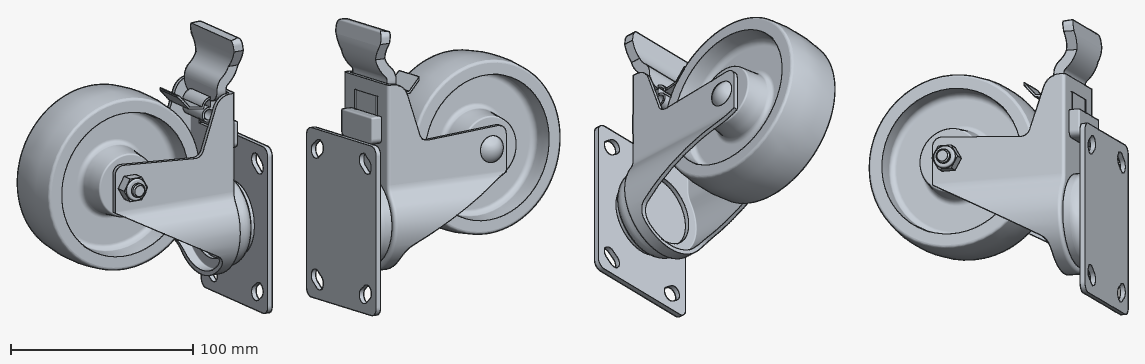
import cadquery as cq
import math


OVERALL_HEIGHT = 156.3

PLATE_WIDTH = 70.0
PLATE_HEIGHT = 95.0
PLATE_THICK = 3.0
PLATE_CORNER = 5.0
SLOT_X = 24.0
SLOT_Z = 36.6
SLOT_RADIUS = 4.2
SLOT_TRAVEL = 4.4
SLOT_TILT = 36.0

RACE_NECK_RADIUS = 21.0
RACE_RADIUS = 26.0
RACE_ROUND = 7.0
RACE_RIM = 4.2

SHEET = 2.5
FORK_BACK = 16.3
FORK_FLOOR = FORK_BACK + SHEET
FORK_HALF_WIDTH = 22.5
FORK_TOP = 78.3
CUP_RADIUS = 29.2
CUP_BLEND = 10.3
CUP_OPENING = 20.6
CUP_RIM = 24.5
BEND_OUTER = 1.9
BEND_INNER = 0.6
CHEEK_TOP_DEPTH = 26.4
CHEEK_TOP_ROUND = 9.8
ELBOW_DEPTH = 38.1
ELBOW_Z = 44.5
ELBOW_ROUND = 5.3
ARM_END = 93.5
ARM_TOP = 48.2
ARM_BOTTOM = 21.3
ARM_ROUND = 5.0
CUP_EDGE_Z = -14.7
CUP_EDGE_ROUND = 10.0

WHEEL_RADIUS = 50.0
WHEEL_DEPTH = 84.1
WHEEL_Z = 35.0
WHEEL_HALF_WIDTH = 17.5
TREAD_EDGE_RADIUS = 48.5
TREAD_ROUND = 1.5
RECESS_RADIUS = 40.8
RECESS_FOOT_RADIUS = 40.2
RECESS_FILLET = 3.3
WEB_HALF_THICK = 3.9
HUB_END_RADIUS = 17.8
HUB_FOOT_RADIUS = 19.9
HUB_HALF_WIDTH = FORK_HALF_WIDTH - SHEET
HUB_ROUND = 1.0
HUB_FILLET = 3.0
HUB_FLANGE_RADIUS = 23.5

AXLE_RADIUS = 3.9
HEAD_RADIUS = 7.5
HEAD_HEIGHT = 3.8
BOLT_END = 32.8
BOLT_CHAMFER = 0.8
NUT_FLATS = 13.0
NUT_LENGTH = 6.4
COLLAR_RADIUS = 6.3
COLLAR_LENGTH = 1.5
COLLAR_ROUND = 1.0

LEVER_THICK = 6.0
LEVER_FRONT = FORK_FLOOR + LEVER_THICK
LEVER_TOP = OVERALL_HEIGHT - PLATE_HEIGHT / 2
LEVER_BEND_Z = 79.7
LEVER_BOTTOM = 72.2
LOWER_BEND = 9.2
UPPER_BEND = 13.9
LEVER_LEAN = 50.0
TIP_LEAN = 8.8
LEVER_HALF_WIDTH = 17.2
TIP_HALF_WIDTH = 22.5
TIP_CORNER = 4.0
LEVER_BACK_ROUND = 1.3
TAPER_TOP = 102.0
TAPER_BOTTOM = 92.4
LEVER_FOOT_ROUND = 7.2

LEAF_HALF_WIDTH = 10.2
LEAF_THICK = 1.3
LEAF_CORNER = 1.5
LEAF_END = 45.2
LEAF_ROOT = (LEVER_FRONT, 73.8)
LEAF_CURL = (28.0, 72.0)
LEAF_CURL_END = (29.5, 68.8)
LEAF_KICK = (38.1, 70.0)
LEAF_TIP = (44.7, 77.2)
EYE_DEPTH = 25.6
EYE_Z = 64.4
EYE_RADIUS = 4.2
EYE_HOLE = 3.0

BUTTON_DEPTH = 10.0
BUTTON_HALF_WIDTH = 15.6
BUTTON_TOP = 59.5
BUTTON_BOTTOM = 44.2
BUTTON_TOP_CORNER = 1.1
BUTTON_FOOT_CORNER = 3.3
BUTTON_EDGE = 1.0
WINDOW_CLEARANCE = 1.3
NECK_BOTTOM = 54.7
NECK_TOP = 70.4


def front_plane(depth):
    """Plane facing -Y at a depth; local axes are X and Z."""
    return cq.Workplane("XZ", origin=(0, -depth, 0))


def side_plane(x):
    """Plane facing +X; local axes are Y and Z."""
    return cq.Workplane("YZ", origin=(x, 0, 0))


def block(half_width, depth_from, depth_to, z_from, z_to):
    return (
        front_plane(depth_from)
        .center(0, (z_from + z_to) / 2)
        .rect(2 * half_width, z_to - z_from)
        .extrude(depth_to - depth_from)
    )


def cylinder_x(x_from, x_to, radius, depth, z):
    return side_plane(x_from).center(-depth, z).circle(radius).extrude(x_to - x_from)


def rounded_polygon(plane, corners):
    """Closed outline through (u, v, radius) corners, each rounded by its own radius."""
    starts_mids_ends = []
    for i, (u, v, radius) in enumerate(corners):
        corner = cq.Vector(u, v)
        before = (cq.Vector(*corners[i - 1][:2]) - corner).normalized()
        after = (cq.Vector(*corners[(i + 1) % len(corners)][:2]) - corner).normalized()
        half_angle = before.getAngle(after) / 2
        reach = radius / math.tan(half_angle)
        to_arc = radius / math.sin(half_angle) - radius
        middle = corner + (before + after).normalized() * to_arc
        starts_mids_ends.append((corner + before * reach, middle, corner + after * reach, radius))
    outline = plane.moveTo(*starts_mids_ends[0][2].toTuple()[:2])
    for start, middle, end, radius in starts_mids_ends[1:] + starts_mids_ends[:1]:
        outline = outline.lineTo(*start.toTuple()[:2])
        if radius > 0:
            outline = outline.threePointArc(middle.toTuple()[:2], end.toTuple()[:2])
    return outline.close()


def turned_about_x(corners):
    """Solid turned about the X axis from (x, radius, rounding) corners."""
    return rounded_polygon(cq.Workplane("XY"), corners).revolve(360, (0, 0, 0), (1, 0, 0))


def make_plate():
    plate = (
        front_plane(0)
        .rect(PLATE_WIDTH, PLATE_HEIGHT)
        .extrude(PLATE_THICK)
        .edges("|Y")
        .fillet(PLATE_CORNER)
    )
    for side in (-1, 1):
        for end in (-1, 1):
            slot = (
                front_plane(0)
                .center(side * SLOT_X, end * SLOT_Z)
                .slot2D(SLOT_TRAVEL + 2 * SLOT_RADIUS, 2 * SLOT_RADIUS, -side * end * SLOT_TILT)
                .extrude(PLATE_THICK)
            )
            plate = plate.cut(slot)
    return plate


def make_race():
    """Domed disc turned about the swivel axis, between the plate and the fork."""
    round_centre_r = RACE_RADIUS - RACE_ROUND
    round_end = FORK_BACK - RACE_RIM
    start_angle = math.acos((RACE_NECK_RADIUS - round_centre_r) / RACE_ROUND)
    middle = start_angle / 2
    return (
        cq.Workplane("XY")
        .moveTo(0, -PLATE_THICK)
        .lineTo(RACE_NECK_RADIUS, -PLATE_THICK)
        .lineTo(RACE_NECK_RADIUS, -round_end + RACE_ROUND * math.sin(start_angle))
        .threePointArc(
            (
                round_centre_r + RACE_ROUND * math.cos(middle),
                -round_end + RACE_ROUND * math.sin(middle),
            ),
            (RACE_RADIUS, -round_end),
        )
        .lineTo(RACE_RADIUS, -FORK_BACK)
        .lineTo(0, -FORK_BACK)
        .close()
        .revolve(360, (0, 0, 0), (0, 1, 0))
    )


def fork_outline(depth, inset, top):
    """Keyhole outline of the fork, moved inward by an inset: round cup below, cheeks above."""
    half_width = FORK_HALF_WIDTH - inset
    cup = CUP_RADIUS - inset
    blend = CUP_BLEND + inset
    blend_x = half_width + blend
    blend_z = math.sqrt((cup + blend) ** 2 - blend_x**2)
    join_angle = math.atan2(blend_z, blend_x)
    join = (cup * math.cos(join_angle), cup * math.sin(join_angle))
    half = join_angle / 2
    middle = (blend_x - blend * math.cos(half), blend_z - blend * math.sin(half))
    return (
        front_plane(depth)
        .moveTo(-half_width, top)
        .lineTo(half_width, top)
        .lineTo(half_width, blend_z)
        .threePointArc(middle, join)
        .threePointArc((0, -cup), (-join[0], join[1]))
        .threePointArc((-middle[0], middle[1]), (-half_width, blend_z))
        .close()
    )


def make_fork():
    length = ARM_END - FORK_BACK
    fork = fork_outline(FORK_BACK, 0, FORK_TOP).extrude(length)
    fork = fork.faces(">Y").edges("not >Z").fillet(BEND_OUTER)

    hollow = fork_outline(FORK_FLOOR, SHEET, FORK_TOP + SHEET).extrude(length)
    hollow = hollow.faces(">Y").edges("not >Z").fillet(BEND_INNER)
    fork = fork.cut(hollow)

    cheek_corners = [
        (-FORK_BACK, FORK_TOP, 0),
        (-CHEEK_TOP_DEPTH, FORK_TOP, CHEEK_TOP_ROUND),
        (-ELBOW_DEPTH, ELBOW_Z, ELBOW_ROUND),
        (-ARM_END, ARM_TOP, ARM_ROUND),
        (-ARM_END, ARM_BOTTOM, 0),
        (-CUP_RIM, CUP_EDGE_Z, CUP_EDGE_ROUND),
        (-CUP_RIM, -CUP_RADIUS, 0),
        (-FORK_BACK, -CUP_RADIUS, 0),
    ]
    cheeks = rounded_polygon(side_plane(-CUP_RADIUS), cheek_corners).extrude(2 * CUP_RADIUS)
    fork = fork.intersect(cheeks)

    opening = front_plane(FORK_BACK).circle(CUP_OPENING).extrude(SHEET)
    axle_hole = cylinder_x(-FORK_HALF_WIDTH, FORK_HALF_WIDTH, AXLE_RADIUS, WHEEL_DEPTH, WHEEL_Z)
    window = block(
        LEAF_HALF_WIDTH + WINDOW_CLEARANCE,
        FORK_BACK,
        FORK_FLOOR,
        NECK_BOTTOM - WINDOW_CLEARANCE,
        NECK_TOP,
    )
    return fork.cut(opening).cut(axle_hole).cut(window)


def make_wheel():
    """Crowned wheel with a dished recess on each side and a long hub."""
    half_profile = (
        cq.Workplane("XY")
        .moveTo(-WHEEL_HALF_WIDTH, 0)
        .lineTo(-WHEEL_HALF_WIDTH, TREAD_EDGE_RADIUS)
        .threePointArc((0, WHEEL_RADIUS), (WHEEL_HALF_WIDTH, TREAD_EDGE_RADIUS))
        .lineTo(WHEEL_HALF_WIDTH, 0)
        .close()
    )
    wheel = half_profile.revolve(360, (0, 0, 0), (1, 0, 0))
    wheel = wheel.faces("<X or >X").edges().fillet(TREAD_ROUND)

    for side in (-1, 1):
        face = side * WHEEL_HALF_WIDTH
        web = side * WEB_HALF_THICK
        hub_end = side * HUB_HALF_WIDTH
        recess_corners = [
            (face, 0, 0),
            (face, RECESS_RADIUS, 0),
            (web, RECESS_FOOT_RADIUS, RECESS_FILLET),
            (web, 0, 0),
        ]
        hub_corners = [
            (0, 0, 0),
            (0, HUB_FLANGE_RADIUS, 0),
            (web, HUB_FLANGE_RADIUS, 0),
            (web, HUB_FOOT_RADIUS, HUB_FILLET),
            (hub_end, HUB_END_RADIUS, HUB_ROUND),
            (hub_end, 0, 0),
        ]
        wheel = wheel.cut(turned_about_x(recess_corners)).union(turned_about_x(hub_corners))

    wheel = wheel.translate((0, -WHEEL_DEPTH, WHEEL_Z))
    bore = cylinder_x(-HUB_HALF_WIDTH, HUB_HALF_WIDTH, AXLE_RADIUS, WHEEL_DEPTH, WHEEL_Z)
    return wheel.cut(bore)


def make_bolt():
    """Axle bolt turned about the wheel axis, with a domed head on the -X side."""
    sphere = (HEAD_RADIUS**2 + HEAD_HEIGHT**2) / (2 * HEAD_HEIGHT)
    crown = -FORK_HALF_WIDTH - HEAD_HEIGHT
    return (
        cq.Workplane("XY")
        .moveTo(crown, 0)
        .radiusArc((-FORK_HALF_WIDTH, HEAD_RADIUS), sphere)
        .lineTo(-FORK_HALF_WIDTH, AXLE_RADIUS)
        .lineTo(BOLT_END - BOLT_CHAMFER, AXLE_RADIUS)
        .lineTo(BOLT_END, AXLE_RADIUS - BOLT_CHAMFER)
        .lineTo(BOLT_END, 0)
        .close()
        .revolve(360, (0, 0, 0), (1, 0, 0))
        .translate((0, -WHEEL_DEPTH, WHEEL_Z))
    )


def make_nut():
    """Hexagon nut with a round locking collar; two of its corners point along Y."""
    collar_start = FORK_HALF_WIDTH + NUT_LENGTH
    collar_end = collar_start + COLLAR_LENGTH
    corner_diameter = NUT_FLATS / math.cos(math.radians(30))
    hexagon = (
        side_plane(FORK_HALF_WIDTH)
        .center(-WHEEL_DEPTH, WHEEL_Z)
        .polygon(6, corner_diameter)
        .extrude(NUT_LENGTH)
    )
    collar = cylinder_x(collar_start, collar_end, COLLAR_RADIUS, WHEEL_DEPTH, WHEEL_Z)
    collar = collar.faces(">X").edges().fillet(COLLAR_ROUND)
    thread = cylinder_x(FORK_HALF_WIDTH, collar_end, AXLE_RADIUS, WHEEL_DEPTH, WHEEL_Z)
    return hexagon.union(collar).cut(thread)


def make_lever():
    """S-shaped strip of even thickness, wide at the tip and narrow where it enters the fork."""
    lean = math.radians(LEVER_LEAN)
    tip = math.radians(-TIP_LEAN)
    lower_y = -LEVER_FRONT + LOWER_BEND
    upper_y = lower_y - (LOWER_BEND + UPPER_BEND) * math.cos(lean)
    upper_z = LEVER_BEND_Z + (LOWER_BEND + UPPER_BEND) * math.sin(lean)
    lower_back = LOWER_BEND - LEVER_THICK
    upper_back = UPPER_BEND + LEVER_THICK

    def on_lower(radius, angle):
        return (lower_y - radius * math.cos(angle), LEVER_BEND_Z + radius * math.sin(angle))

    def on_upper(radius, angle):
        return (upper_y + radius * math.cos(angle), upper_z - radius * math.sin(angle))

    tip_back = on_upper(upper_back, tip)
    tip_front = on_upper(UPPER_BEND, tip)
    lost_height = LEVER_BACK_ROUND * (math.cos(tip) - math.sin(tip) - 1)
    tip_rise = LEVER_TOP + lost_height - tip_back[1]
    tip_shift = tip_rise * math.tan(tip)
    middle = (lean + tip) / 2
    strip = (
        side_plane(-TIP_HALF_WIDTH)
        .moveTo(-LEVER_FRONT, LEVER_BOTTOM)
        .lineTo(-LEVER_FRONT, LEVER_BEND_Z)
        .threePointArc(on_lower(LOWER_BEND, lean / 2), on_lower(LOWER_BEND, lean))
        .threePointArc(on_upper(UPPER_BEND, middle), tip_front)
        .lineTo(tip_front[0] + tip_shift, tip_front[1] + tip_rise)
        .lineTo(tip_back[0] + tip_shift, tip_back[1] + tip_rise)
        .lineTo(*tip_back)
        .threePointArc(on_upper(upper_back, middle), on_lower(lower_back, lean))
        .threePointArc(on_lower(lower_back, lean / 2), (-FORK_FLOOR, LEVER_BEND_Z))
        .lineTo(-FORK_FLOOR, LEVER_BOTTOM)
        .close()
        .extrude(2 * TIP_HALF_WIDTH)
    )
    right_half = [
        (LEVER_HALF_WIDTH, LEVER_BOTTOM, LEVER_FOOT_ROUND),
        (LEVER_HALF_WIDTH, TAPER_BOTTOM, 0),
        (TIP_HALF_WIDTH, TAPER_TOP, 0),
        (TIP_HALF_WIDTH, LEVER_TOP + lost_height, TIP_CORNER),
    ]
    left_half = [(-x, z, radius) for x, z, radius in reversed(right_half)]
    silhouette = rounded_polygon(front_plane(0), right_half + left_half)
    lever = strip.intersect(silhouette.extrude(2 * LEVER_FRONT))
    return lever.faces(">Y").edges(">Z").fillet(LEVER_BACK_ROUND)


def make_leaf():
    """Thin leaf that curls out of the lever, runs forward and kicks up at its end."""
    root, curl, curl_end, kick, tip = [
        (-depth, z) for depth, z in (LEAF_ROOT, LEAF_CURL, LEAF_CURL_END, LEAF_KICK, LEAF_TIP)
    ]
    leaf = (
        side_plane(-LEAF_HALF_WIDTH)
        .moveTo(*root)
        .threePointArc(curl, curl_end)
        .lineTo(*kick)
        .lineTo(*tip)
        .offset2D(LEAF_THICK / 2)
        .extrude(2 * LEAF_HALF_WIDTH)
    )
    outline = block(LEAF_HALF_WIDTH, FORK_FLOOR, LEAF_END, EYE_Z, LEVER_BEND_Z)
    return leaf.intersect(outline.edges("|Z and <Y").fillet(LEAF_CORNER))


def make_button():
    top = (BUTTON_TOP, BUTTON_TOP_CORNER)
    foot = (BUTTON_BOTTOM, BUTTON_FOOT_CORNER)
    corners = [
        (BUTTON_HALF_WIDTH, *foot),
        (BUTTON_HALF_WIDTH, *top),
        (-BUTTON_HALF_WIDTH, *top),
        (-BUTTON_HALF_WIDTH, *foot),
    ]
    button = rounded_polygon(front_plane(BUTTON_DEPTH), corners).extrude(FORK_BACK - BUTTON_DEPTH)
    return button.faces(">Y").edges().fillet(BUTTON_EDGE)


def make_brake():
    """Lever, leaf, eye and button in one piece, reaching through the fork's window."""
    neck = block(LEAF_HALF_WIDTH, FORK_BACK, FORK_FLOOR, NECK_BOTTOM, NECK_TOP)
    hanger = block(LEAF_HALF_WIDTH, FORK_FLOOR, LEVER_FRONT, EYE_Z - EYE_RADIUS, LEVER_BOTTOM)
    eye = cylinder_x(-LEAF_HALF_WIDTH, LEAF_HALF_WIDTH, EYE_RADIUS, EYE_DEPTH, EYE_Z)
    eye_hole = cylinder_x(-LEAF_HALF_WIDTH, LEAF_HALF_WIDTH, EYE_HOLE, EYE_DEPTH, EYE_Z)
    brake = make_lever().union(make_leaf()).union(hanger).union(eye).cut(eye_hole)
    return brake.union(neck).union(make_button())


plate = make_plate()
race = make_race()
fork = make_fork()
wheel = make_wheel()
bolt = make_bolt()
nut = make_nut()
brake = make_brake()

result = cq.Compound.makeCompound(
    [
        plate.val(),
        race.val(),
        fork.val(),
        wheel.val(),
        bolt.val(),
        nut.val(),
        brake.val(),
    ]
)